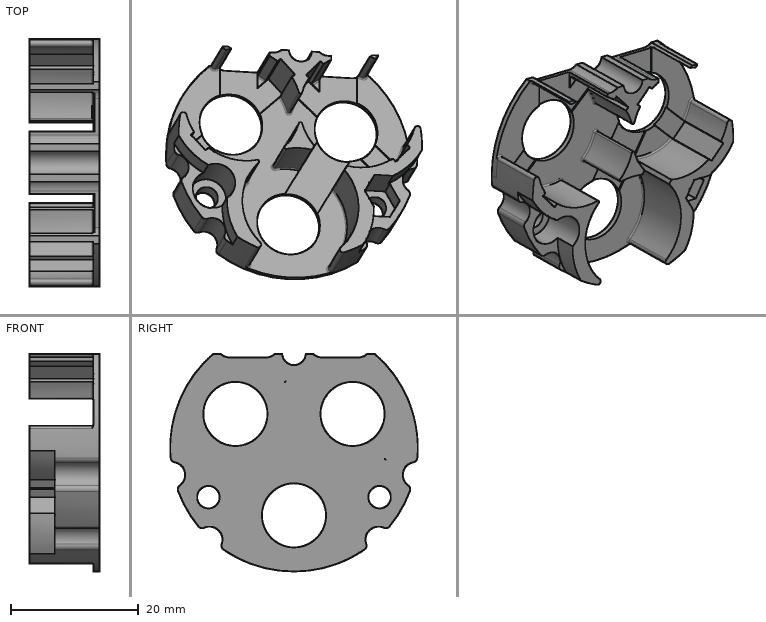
import cadquery as cq
import math

outer_radius = 19.4
length = 11.0
floor_thickness = 0.97
floor_x = length - floor_thickness
tab_top_z = 14.7
past = 0.4

cell_pitch_radius = 10.6
cavity_radius = 9.27
cell_hole_diameter = 10.0
wall_tip_radius = 0.5
cusp_tip_radius = 0.27
cusp_zone = 3.1
floor_fillet = 0.252
same_place = 0.005

recess_depth = 0.25
recess_x = floor_x + recess_depth
contact_half_length = 9.78
contact_width = 3.35
contact_angle = 43.2
link_width = 5.98
top_strip_inner_y = 4.93
top_strip_outer_y = 10.9

top_flat_z = 14.15
top_flat_inner_y = 4.4
top_flat_outer_y = 10.1
top_corner_radius = 2.0
groove_radius = 1.82
groove_center_z = 14.8

boss_pitch_radius = 15.5
boss_face_x = 4.0
screw_hole_diameter = 3.5
head_diameter = 6.0
nut_across_flats = 5.47
seat_x = 8.0
wall_outer_radius = 11.7
boss_zone_top_z = 3.88

scallop_radius = 2.0
scallop_pitch_radius = 19.55
scallop_offset_angle = 17.4
scallop_tip_radius = 0.78


def polar(radius, degrees):
    """Point in the YZ plane at a radius and an angle from +Y towards +Z."""
    angle = math.radians(degrees)
    return radius * math.cos(angle), radius * math.sin(angle)


cell_centers = [polar(cell_pitch_radius, angle) for angle in (30, 150, 270)]
left_cell, right_cell, bottom_cell = cell_centers
boss_angles = (-30, 210)
boss_centers = [polar(boss_pitch_radius, angle) for angle in boss_angles]
left_boss, right_boss = boss_centers
scallop_centers = [
    polar(scallop_pitch_radius, angle + side * scallop_offset_angle)
    for angle in boss_angles
    for side in (-1, 1)
]


def section_plane(x):
    """Plane across the part at X = x; its local axes are Y and Z."""
    return cq.Workplane("YZ", origin=(x, 0, 0))


def cylinders(centers, diameter, start_x, end_x):
    return section_plane(start_x).pushPoints(centers).circle(diameter / 2).extrude(end_x - start_x)


def box(y_range, z_range, x_range):
    size = [high - low for low, high in (x_range, y_range, z_range)]
    corner = (x_range[0], y_range[0], z_range[0])
    return cq.Workplane("XY").box(*size, centered=False).translate(corner)


def distance(point, center=(0, 0)):
    return math.hypot(point[0] - center[0], point[1] - center[1])


def middle_of(edge):
    """YZ position of the middle of an edge."""
    point = edge.positionAt(0.5)
    return point.y, point.z


def edges_along_x(piece, near_radius, tolerance):
    """Straight edges parallel to X that lie about one radius away from the middle axis."""
    edges = cq.Workplane(piece).edges("|X").vals()
    return [edge for edge in edges if abs(distance(middle_of(edge)) - near_radius) < tolerance]


def cell_walls():
    """Pieces left of the round body between the three cavities, with rounded tips."""
    body = section_plane(0).circle(outer_radius).extrude(floor_x)
    for center in cell_centers:
        body = body.cut(cylinders([center], 2 * cavity_radius, -past, length))
    pieces = []
    for piece in body.solids().vals():
        rim_edges = edges_along_x(piece, outer_radius, same_place)
        if rim_edges:
            piece = piece.fillet(wall_tip_radius, rim_edges)
        cusp_edges = edges_along_x(piece, cell_pitch_radius / 2, cusp_zone)
        pieces.append(piece.fillet(cusp_tip_radius, cusp_edges))
    return pieces


def body_with_floor():
    """Walls standing on the round floor, with a fillet all around their feet."""
    plate_radius = outer_radius + 2 * floor_fillet
    body = section_plane(floor_x).circle(plate_radius).extrude(floor_thickness)
    for piece in cell_walls():
        body = body.union(cq.Workplane(piece))
    feet = [
        edge
        for edge in body.edges().vals()
        if edge.BoundingBox().xmin > floor_x - past
        and edge.BoundingBox().xmax < floor_x + past
        and distance(middle_of(edge)) < plate_radius - same_place
    ]
    body = cq.Workplane(body.solids().val().fillet(floor_fillet, feet))
    return body.intersect(section_plane(0).circle(outer_radius).extrude(length))


def top_edge_cut():
    """Trims the top to the tabs and lips, then lowers a flat with round ends on each side."""
    cut = box((-outer_radius, outer_radius), (tab_top_z, outer_radius + past), (-past, length + past))
    rise = tab_top_z - top_flat_z
    run = math.sqrt(top_corner_radius**2 - (top_corner_radius - rise) ** 2)
    half_run = math.sqrt(top_corner_radius**2 - (top_corner_radius - rise / 2) ** 2)
    middle_z = top_flat_z + rise / 2
    inner = top_flat_inner_y
    outer = top_flat_outer_y
    for side in (-1, 1):
        flat = (
            section_plane(-past)
            .moveTo(side * inner, top_flat_z)
            .lineTo(side * outer, top_flat_z)
            .threePointArc((side * (outer + half_run), middle_z), (side * (outer + run), tab_top_z))
            .lineTo(side * (inner - run), tab_top_z)
            .threePointArc((side * (inner - half_run), middle_z), (side * inner, top_flat_z))
            .close()
            .extrude(length + 2 * past)
        )
        cut = cut.union(flat)
    return cut.union(cylinders([(0, groove_center_z)], 2 * groove_radius, -past, length + past))


def top_strip(side):
    """Strip from an upper cell to the top edge; it also squares off the side of the post."""
    y_range = sorted((side * top_strip_inner_y, side * top_strip_outer_y))
    return box(y_range, (left_cell[1], outer_radius), (-past, recess_x))


def contact_strip(center, angle):
    """Strip through a cell centre whose ends notch the walls."""
    half = contact_half_length
    strip = box((-half, half), (-contact_width / 2, contact_width / 2), (-past, recess_x))
    return strip.rotate((0, 0, 0), (1, 0, 0), angle).translate((0, *center))


def link_strip():
    """Strip that joins the right cell to the bottom cell and clips the walls between them."""
    run_y = right_cell[0] - bottom_cell[0]
    run_z = right_cell[1] - bottom_cell[1]
    strip = box((0, math.hypot(run_y, run_z)), (-link_width / 2, link_width / 2), (-past, recess_x))
    angle = math.degrees(math.atan2(run_z, run_y))
    return strip.rotate((0, 0, 0), (1, 0, 0), angle).translate((0, *bottom_cell))


def cut_scallops(body):
    """Round grooves through the rim beside the bosses, with rounded tips."""
    for center in scallop_centers:
        body = body.cut(cylinders([center], 2 * scallop_radius, -past, length + past))
    tips = [
        edge
        for edge in edges_along_x(body.val(), outer_radius, same_place)
        if any(abs(distance(middle_of(edge), c) - scallop_radius) < same_place for c in scallop_centers)
    ]
    return body.newObject(tips).fillet(scallop_tip_radius)


def boss_faces_cut():
    """Lowers the boss areas to the boss face and leaves the cell walls standing."""
    reach = outer_radius + past
    cut = box((-reach, reach), (-reach, boss_zone_top_z), (-past, boss_face_x))
    for center in cell_centers:
        cut = cut.cut(cylinders([center], 2 * wall_outer_radius, -2 * past, floor_x))
    return cut


def nut_seat(center):
    """Hexagonal seat with two flats level."""
    across_corners = nut_across_flats / math.cos(math.radians(30))
    return section_plane(-past).center(*center).polygon(6, across_corners).extrude(seat_x + past)


result = body_with_floor()
result = result.cut(top_edge_cut())
for side in (-1, 1):
    result = result.cut(top_strip(side))
result = cut_scallops(result)
result = result.cut(boss_faces_cut())
result = result.cut(contact_strip(left_cell, -contact_angle))
result = result.cut(contact_strip(right_cell, contact_angle))
result = result.cut(link_strip())
result = result.cut(cylinders([left_boss], head_diameter, -past, seat_x))
result = result.cut(nut_seat(right_boss))
result = result.cut(cylinders(boss_centers, screw_hole_diameter, -past, length + past))
result = result.cut(cylinders(cell_centers, cell_hole_diameter, -past, length + past))
result = cq.Workplane(result.solids().val())